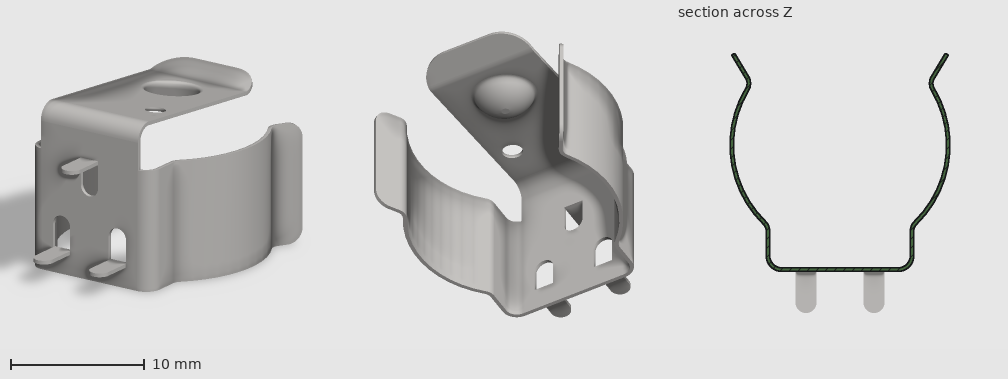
import cadquery as cq
import math

thickness = 0.3
half_thickness = thickness / 2

band_height = 9.55
band_width = 16.5
arc_center_y = 9.46
wall_half_width = 5.54
back_bend_radius = 1.2
arm_bend_radius = 0.87
flare_angle = math.radians(31)
flare_length = 2.05
flare_corner_radius = 1.2

tongue_width = 8.87
top_height = 13.05
tongue_bend_radius = 1.3
tongue_slope = math.radians(5.6)
tongue_length = 12.73
lip_angle = math.radians(18)
lip_bend_radius = 1.1
lip_end_y = 16.58
lip_corner_radius = 2.5

dimple_y = 10.8
dimple_inner_radius = 2.25
dimple_center_height = 0.69
dimple_flat_radius = 0.32
dimple_upper_fillet = 0.3
dimple_lower_fillet = 0.24
hole_diameter = 1.58
hole_x = 2.8
hole_y = 4.61

tab_width = 1.58
tab_reach = 3.1
tab_spacing = 2.55
lower_tab_bottom = 1.65
slot_length = 2.94


def polar(center, radius, angle):
    """Point at an angle on a circle."""
    return (center[0] + radius * math.cos(angle), center[1] + radius * math.sin(angle))


def make_arm():
    """Right half of the band, swept from the middle of the back plate to the flared tip."""
    wall_x = wall_half_width - half_thickness
    arc_radius = band_width / 2 - half_thickness
    back_radius = back_bend_radius - half_thickness
    arc_center = (0, arc_center_y)
    back_center = (wall_x - back_radius, back_bend_radius)

    center_distance = arc_radius + arm_bend_radius
    lower_angle = -math.acos((wall_x + arm_bend_radius) / center_distance)
    upper_angle = flare_angle
    lower_center = polar(arc_center, center_distance, lower_angle)
    upper_center = polar(arc_center, center_distance, upper_angle)
    flare_start = polar(upper_center, arm_bend_radius, math.pi - flare_angle)
    flare_end = polar(flare_start, flare_length, math.pi / 2 - flare_angle)

    path = (
        cq.Workplane("XY")
        .moveTo(0, half_thickness)
        .lineTo(back_center[0], half_thickness)
        .threePointArc(
            polar(back_center, back_radius, -math.pi / 4),
            (wall_x, back_bend_radius),
        )
        .lineTo(wall_x, lower_center[1])
        .threePointArc(
            polar(lower_center, arm_bend_radius, math.pi + lower_angle / 2),
            polar(arc_center, arc_radius, lower_angle),
        )
        .threePointArc(
            (arc_radius, arc_center_y),
            polar(arc_center, arc_radius, upper_angle),
        )
        .threePointArc(
            polar(upper_center, arm_bend_radius, math.pi),
            flare_start,
        )
        .lineTo(*flare_end)
    )
    arm = (
        cq.Workplane("YZ")
        .center(half_thickness, band_height / 2)
        .rect(thickness, band_height)
        .sweep(path)
    )
    tip_size = 2 * thickness
    tip_box = cq.selectors.BoxSelector(
        (flare_end[0] - tip_size, flare_end[1] - tip_size, -0.2),
        (flare_end[0] + tip_size, flare_end[1] + tip_size, band_height + 0.2),
    )
    return arm.edges(tip_box).edges("not |Z").fillet(flare_corner_radius)


def make_tongue():
    """Strip rising from the back plate, bent forward, sloping down and ending in a raised lip."""
    bend_radius = tongue_bend_radius - half_thickness
    bend_center = (tongue_bend_radius, top_height - tongue_bend_radius)
    slope_normal = math.pi / 2 - tongue_slope
    slope_start = polar(bend_center, bend_radius, slope_normal)
    slope_end = polar(slope_start, tongue_length, -tongue_slope)
    lip_center = polar(slope_end, lip_bend_radius, slope_normal)
    lip_start = polar(lip_center, lip_bend_radius, lip_angle - math.pi / 2)
    lip_rise = (lip_end_y - lip_start[0]) * math.tan(lip_angle)
    lip_end = (lip_end_y, lip_start[1] + lip_rise)

    path = (
        cq.Workplane("YZ")
        .moveTo(half_thickness, band_height)
        .lineTo(half_thickness, bend_center[1])
        .threePointArc(
            polar(bend_center, bend_radius, (math.pi + slope_normal) / 2),
            slope_start,
        )
        .lineTo(*slope_end)
        .threePointArc(
            polar(lip_center, lip_bend_radius, (lip_angle - tongue_slope - math.pi) / 2),
            lip_start,
        )
        .lineTo(*lip_end)
    )
    tongue = (
        cq.Workplane("XY", origin=(0, half_thickness, band_height))
        .rect(tongue_width, thickness)
        .sweep(path)
    )
    return round_lip(tongue, lip_end)


def round_lip(tongue, lip_end):
    """Round both corners of the lip; the arcs just run into the bend behind it."""
    lip_plane = cq.Plane(
        origin=(0, *lip_end),
        xDir=(1, 0, 0),
        normal=(0, -math.sin(lip_angle), math.cos(lip_angle)),
    )
    arc_x = tongue_width / 2 - lip_corner_radius
    for side in (-1, 1):
        corner = (
            cq.Workplane(lip_plane)
            .moveTo(side * arc_x, 0)
            .threePointArc(
                (
                    side * (arc_x + lip_corner_radius * math.sin(math.pi / 4)),
                    lip_corner_radius * (math.cos(math.pi / 4) - 1),
                ),
                (side * tongue_width / 2, -lip_corner_radius),
            )
            .lineTo(side * tongue_width, -lip_corner_radius)
            .lineTo(side * tongue_width, thickness)
            .lineTo(side * arc_x, thickness)
            .close()
            .extrude(2 * thickness, both=True)
        )
        tongue = tongue.cut(corner)
    return tongue


def tongue_plane(x, y):
    """Plane on the sloping upper face, with its normal pointing out of the tongue."""
    bend_center_z = top_height - tongue_bend_radius
    face_y, face_z = polar(
        (tongue_bend_radius, bend_center_z), tongue_bend_radius, math.pi / 2 - tongue_slope
    )
    z = face_z - (y - face_y) * math.tan(tongue_slope)
    normal = (0, math.sin(tongue_slope), math.cos(tongue_slope))
    return cq.Plane(origin=(x, y, z), xDir=(1, 0, 0), normal=normal)


def add_dimple(body):
    """Bowl pressed down through the tongue: spherical, with a small flat bottom and a soft rim."""
    plane = tongue_plane(0, dimple_y)
    outer_radius = dimple_inner_radius + thickness

    def flattened_ball(radius):
        bottom_depth = math.sqrt(radius**2 - dimple_flat_radius**2)
        center_plane = cq.Workplane(plane).workplane(offset=dimple_center_height)
        return center_plane.sphere(radius).intersect(
            center_plane.rect(2 * radius, 2 * radius).extrude(bottom_depth, both=True)
        )

    def soften_rim(solid, face_depth, fillet_radius):
        """Fillet the bowl's circular edge lying in the tongue face at the given depth."""
        rim_center = plane.toWorldCoords((0, 0, -face_depth))
        return solid.edges(cq.selectors.NearestToPointSelector(rim_center)).fillet(fillet_radius)

    below_tongue = (
        cq.Workplane(plane)
        .rect(4 * outer_radius, 4 * outer_radius)
        .extrude(-2 * outer_radius)
    )
    body = body.union(flattened_ball(outer_radius).intersect(below_tongue))
    body = body.cut(flattened_ball(dimple_inner_radius))
    body = soften_rim(body, 0, dimple_upper_fillet)
    return soften_rim(body, thickness, dimple_lower_fillet)


def add_hole(body):
    cutter = (
        cq.Workplane(tongue_plane(hole_x, hole_y))
        .circle(hole_diameter / 2)
        .extrude(2 * thickness, both=True)
    )
    return body.cut(cutter)


def round_ended_strip(plane, x, start, direction, length):
    """Sketch of a strip with one square end at start and one fully rounded end."""
    radius = tab_width / 2
    shoulder = start + direction * (length - radius)
    return (
        cq.Workplane(plane)
        .moveTo(x - radius, start)
        .lineTo(x - radius, shoulder)
        .threePointArc((x, start + direction * length), (x + radius, shoulder))
        .lineTo(x + radius, start)
        .close()
    )


def add_tab(body, x, outer_face_z, direction):
    """Cut a slot in the back plate and fold its tab outward; direction is the slot's way in Z."""
    slot = round_ended_strip("XZ", x, outer_face_z, direction, slot_length).extrude(-thickness)
    tab = (
        round_ended_strip("XY", x, thickness, -1, tab_reach + thickness)
        .extrude(direction * thickness)
        .translate((0, 0, outer_face_z))
    )
    return body.cut(slot).union(tab)


arm = make_arm()
body = arm.union(arm.mirror("YZ")).union(make_tongue())
body = add_dimple(body)
body = add_hole(body)
body = add_tab(body, 0, band_height, -1)
for tab_x in (-tab_spacing, tab_spacing):
    body = add_tab(body, tab_x, lower_tab_bottom, 1)

result = body